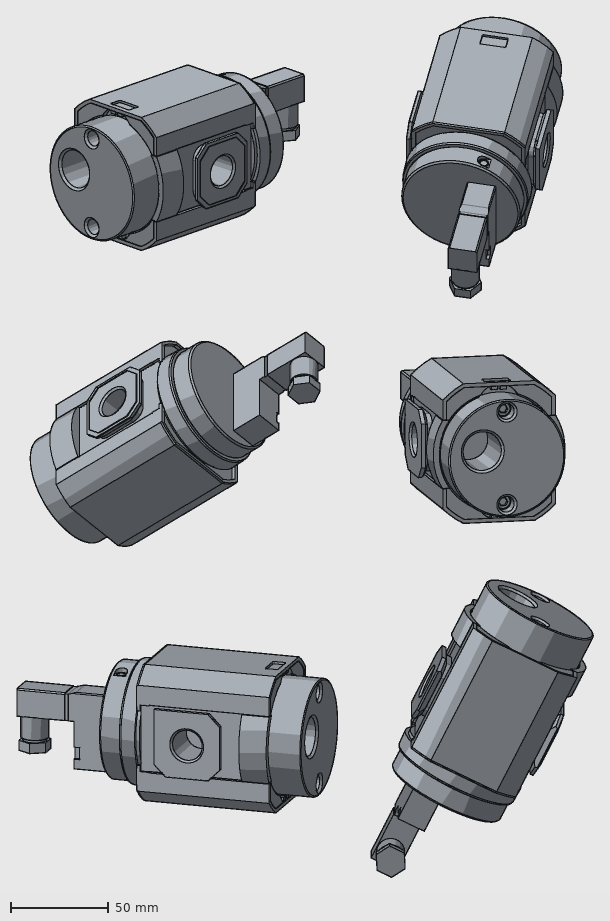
import cadquery as cq
import math


COVER_HALF_WIDTH = 29.7
COVER_HALF_HEIGHT = 36.5
COVER_CORNER_RADIUS = 41.0
CORNER_ARC_START_Z = math.sqrt(COVER_CORNER_RADIUS**2 - COVER_HALF_WIDTH**2)
COVER_WALL = 2.0
COVER_FRONT_Y = -61.4
COVER_BACK_Y = 10.2
COVER_BACK_CHAMFER_LENGTH = 1.0
COVER_BACK_CHAMFER_DEPTH = 0.3
EDGE_MARGIN = 0.2
WINDOW_HALF_HEIGHT = 17.8
WINDOW_BACK_Y = 8.3
WINDOW_CLEARANCE = 0.3
WINDOW_CLEARANCE_BACK_Y = 3.5
BACK_NOTCH_HALF_HEIGHT = 14.6
LABEL_WIDTH = 13.5
LABEL_LENGTH = 7.0
LABEL_DEPTH = 1.3
LABEL_CORNER_RADIUS = 0.8
LABEL_CENTRE_Y = -54.9
TOOTH_WIDTH = 3.1
TOOTH_GAP = 1.5
TOOTH_HEIGHT = 1.9
TOOTH_FRONT_Y = -60.6

FRONT_Y = -78.7
END_FACE_RECESS = 0.5
CORE_FRONT_Y = COVER_FRONT_Y + END_FACE_RECESS
SIDE_PLATE_X = 28.5
NOSE_RADIUS = 30.7
NOSE_CHAMFER_LENGTH = 0.5
NOSE_CHAMFER_DEPTH = 0.8
NOSE_GROOVE_RADIUS = 31.5
NOSE_GROOVE_DEPTH = 1.3
FLANGE_RADIUS = 34.8
FLANGE_BACK_Y = -46.5
MAIN_PORT_X = -12.7
MAIN_PORT_Z = 4.1
MAIN_PORT_RADIUS = 10.0
MAIN_PORT_CHAMFER = 1.3
MAIN_PORT_DEPTH = 31.5

SCREW_OFFSET_Z = 24.2
SCREW_HOLE_RADIUS = 4.1
SCREW_HOLE_CHAMFER = 1.3
SCREW_HOLE_DEPTH = 7.9
HEX_SOCKET_DIAMETER = 4.7
HEX_SOCKET_DEPTH = 2.4
SCREW_HEAD_RADIUS = 3.6
SCREW_HEAD_GROOVE_DEPTH = 0.8
SNAP_RECESS_RADIUS = 11.3
SNAP_RECESS_DEPTH = 3.1

PORT_CENTRE_Y = -18.5
PORT_FACE_X = 35.1
PORT_PLATE_SIZE = 2 * WINDOW_HALF_HEIGHT
PORT_CORNER_CUT = 6.3
PORT_PLATE_BACK_X = 31.2
PORT_BEVEL_LENGTH = 1.7
PORT_BEVEL_DEPTH = 2.8
PORT_NECK_SIZE = PORT_PLATE_SIZE - 2 * PORT_BEVEL_DEPTH
PORT_NECK_CORNER_RADIUS = 6.6
PORT_PAD_THICKNESS = 0.5
PORT_PAD_INSET = 1.7
SIDE_PORT_RADIUS = 8.0
SIDE_PORT_CHAMFER = 1.1
SIDE_PORT_DEPTH = 23.6

SPIGOT_RADIUS = 31.2
COLLAR_BACK_Y = 18.7
COLLAR_FRONT_RADIUS = 33.2
COLLAR_BACK_RADIUS = 32.9
COLLAR_CHAMFER_LENGTH = 1.0
COLLAR_CHAMFER_DEPTH = 0.5
CAP_BACK_Y = 30.2
CAP_RADIUS = 31.0
CAP_BACK_CHAMFER = 1.0
CAP_FRONT_CHAMFER = 0.5
BUTTON_Y = 24.7
BUTTON_RADIUS = 2.0
BUTTON_GROOVE_RADIUS = 2.5
BUTTON_GROOVE_DEPTH = 0.8
BUTTON_WELL_RADIUS = 3.1
BUTTON_WELL_FLOOR_Z = 27.5

PILOT_X = -11.0
PILOT_WIDTH = 15.1
PILOT_TOP_Z = 17.8
PILOT_BOTTOM_Z = -23.1
PILOT_BACK_Y = 47.8
PILOT_ARM_BOTTOM_Z = 2.2
PILOT_ARM_BACK_Y = 51.0
PILOT_SLOPE_START_Y = 46.7
PILOT_SLOPE_END_Z = 16.5
PILOT_EDGE_CHAMFER = 0.6
SEAL_INSET = 0.5
NOTCH_LENGTH = 3.1
NOTCH_DEPTH = 1.5
NOTCH_TOP_Z = -11.5
NOTCH_BOTTOM_Z = -18.0
PLUG_FRONT_Y = 52.9
PLUG_BACK_Y = 78.7
PLUG_TOP_Z = 17.0
PLUG_EDGE_CHAMFER = 0.8
GLAND_DIAMETER = 14.5
GLAND_BOTTOM_Z = -10.2
GLAND_NECK_DIAMETER = 12.7
GLAND_NUT_TOP_Z = -11.6
GLAND_NUT_BOTTOM_Z = -17.0


def block(x_range, y_range, z_range):
    """Box between two limits on each axis."""
    size = [end - start for start, end in (x_range, y_range, z_range)]
    corner = (x_range[0], y_range[0], z_range[0])
    return cq.Workplane("XY").box(*size, centered=False).translate(corner)


def along_y(start_y):
    """XZ workplane at start_y; extruding it runs toward +Y and sketch y is -Z."""
    return cq.Workplane(cq.Plane((0, start_y, 0), xDir=(1, 0, 0), normal=(0, 1, 0)))


def cylinder_y(radius, start_y, end_y, x=0.0, z=0.0):
    return along_y(start_y).center(x, -z).circle(radius).extrude(end_y - start_y)


def chamfered_hole_y(radius, chamfer, depth, x, z):
    """Cutter for a blind hole into the front face, with a countersunk mouth."""
    hole = cylinder_y(radius, FRONT_Y, FRONT_Y + depth, x, z)
    mouth = cq.Solid.makeCone(
        radius + chamfer, radius, chamfer, pnt=cq.Vector(x, FRONT_Y, z), dir=cq.Vector(0, 1, 0)
    )
    return hole.union(cq.Workplane(mouth))


def rounded_profile(start_y, end_y, inset):
    """Prism with flat sides and corner arcs about the main axis, shrunk by inset."""
    width = COVER_HALF_WIDTH - inset
    height = COVER_HALF_HEIGHT - inset
    corner = cylinder_y(COVER_CORNER_RADIUS - inset, start_y, end_y)
    return corner.intersect(block((-width, width), (start_y, end_y), (-height, height)))


def square_prism_x(size, corner_cut, start_x, end_x):
    """Prism along X about the side port axis, square with its corners cut off."""
    prism = cq.Workplane("YZ", origin=(start_x, PORT_CENTRE_Y, 0)).rect(size, size).extrude(end_x - start_x)
    return prism.edges("|X").chamfer(corner_cut)


def make_cover():
    outer = rounded_profile(COVER_FRONT_Y, COVER_BACK_Y, 0)
    top_edges = cq.selectors.BoxSelector(
        (-COVER_HALF_WIDTH, COVER_BACK_Y - EDGE_MARGIN, CORNER_ARC_START_Z),
        (COVER_HALF_WIDTH, COVER_BACK_Y + EDGE_MARGIN, COVER_HALF_HEIGHT + EDGE_MARGIN),
    )
    outer = outer.edges(top_edges).chamfer(COVER_BACK_CHAMFER_DEPTH, COVER_BACK_CHAMFER_LENGTH)
    shell = outer.cut(rounded_profile(COVER_FRONT_Y, COVER_BACK_Y, COVER_WALL))
    width_range = (-COVER_HALF_WIDTH, COVER_HALF_WIDTH)
    window_legs = block(width_range, (COVER_FRONT_Y, WINDOW_BACK_Y), (WINDOW_HALF_HEIGHT, COVER_HALF_HEIGHT))
    back_legs = block(width_range, (WINDOW_BACK_Y, COVER_BACK_Y), (BACK_NOTCH_HALF_HEIGHT, COVER_HALF_HEIGHT))
    clearance = block(
        width_range,
        (COVER_FRONT_Y, WINDOW_CLEARANCE_BACK_Y),
        (WINDOW_HALF_HEIGHT, WINDOW_HALF_HEIGHT + WINDOW_CLEARANCE),
    )
    cover = shell.intersect(window_legs.union(back_legs)).cut(clearance)
    for side in (-1, 1):
        cover = cover.union(make_snap_tooth(side))
    return cover


def make_snap_tooth(side):
    """Tooth inside the cover that fits in the recess of the core; side is +1 or -1 along X."""
    centre_x = side * (TOOTH_GAP + TOOTH_WIDTH) / 2
    wall_z = COVER_HALF_HEIGHT - COVER_WALL
    return block(
        (centre_x - TOOTH_WIDTH / 2, centre_x + TOOTH_WIDTH / 2),
        (TOOTH_FRONT_Y, CORE_FRONT_Y + SNAP_RECESS_DEPTH),
        (wall_z - TOOTH_HEIGHT, wall_z),
    )


def make_label_recess():
    recess = (
        cq.Workplane("XY", origin=(0, LABEL_CENTRE_Y, COVER_HALF_HEIGHT - LABEL_DEPTH))
        .rect(LABEL_WIDTH, LABEL_LENGTH)
        .extrude(LABEL_DEPTH)
    )
    return recess.edges("|Z").fillet(LABEL_CORNER_RADIUS)


def make_side_port():
    """Port block on the +X side, reaching in to the side plate."""
    plate = square_prism_x(PORT_PLATE_SIZE, PORT_CORNER_CUT, PORT_PLATE_BACK_X, PORT_FACE_X)
    plate = plate.faces("<X").edges().chamfer(PORT_BEVEL_DEPTH, PORT_BEVEL_LENGTH)
    neck = (
        cq.Workplane("YZ", origin=(SIDE_PLATE_X, PORT_CENTRE_Y, 0))
        .rect(PORT_NECK_SIZE, PORT_NECK_SIZE)
        .extrude(PORT_PLATE_BACK_X - SIDE_PLATE_X)
        .edges("|X")
        .fillet(PORT_NECK_CORNER_RADIUS)
    )
    return plate.union(neck)


def make_square_corner():
    """Fills the one uncut corner, at the back and top of the -X port plate."""
    corner = PORT_CORNER_CUT + PORT_BEVEL_DEPTH
    back = PORT_CENTRE_Y + PORT_PLATE_SIZE / 2
    return block(
        (-PORT_FACE_X, -PORT_PLATE_BACK_X - PORT_BEVEL_LENGTH),
        (back - corner, back),
        (WINDOW_HALF_HEIGHT - corner, WINDOW_HALF_HEIGHT),
    )


def make_pad_step():
    """Rim cut from the +X port face, leaving a raised pad."""
    step_x = PORT_FACE_X - PORT_PAD_THICKNESS
    rim = square_prism_x(PORT_PLATE_SIZE, PORT_CORNER_CUT, step_x, PORT_FACE_X)
    pad_size = PORT_PLATE_SIZE - 2 * PORT_PAD_INSET
    return rim.cut(square_prism_x(pad_size, PORT_CORNER_CUT, step_x, PORT_FACE_X))


def make_side_port_hole(side):
    """Blind countersunk hole; side is +1 or -1 along X."""
    face = cq.Vector(side * PORT_FACE_X, PORT_CENTRE_Y, 0)
    inward = cq.Vector(-side, 0, 0)
    bore = cq.Solid.makeCylinder(SIDE_PORT_RADIUS, SIDE_PORT_DEPTH, face, inward)
    mouth = cq.Solid.makeCone(
        SIDE_PORT_RADIUS + SIDE_PORT_CHAMFER, SIDE_PORT_RADIUS, SIDE_PORT_CHAMFER, face, inward
    )
    return cq.Workplane(bore).union(cq.Workplane(mouth))


def make_core():
    """Block that fills the covers, with flat side plates between them."""
    filling = rounded_profile(CORE_FRONT_Y, WINDOW_BACK_Y, COVER_WALL)
    side_plates = block(
        (-SIDE_PLATE_X, SIDE_PLATE_X),
        (FLANGE_BACK_Y, WINDOW_BACK_Y),
        (-WINDOW_HALF_HEIGHT, WINDOW_HALF_HEIGHT),
    )
    return filling.union(side_plates)


def make_flange():
    disc = cylinder_y(FLANGE_RADIUS, COVER_FRONT_Y, FLANGE_BACK_Y)
    between_covers = block(
        (-FLANGE_RADIUS, FLANGE_RADIUS),
        (COVER_FRONT_Y, FLANGE_BACK_Y),
        (-WINDOW_HALF_HEIGHT, WINDOW_HALF_HEIGHT),
    )
    return disc.intersect(between_covers)


def make_nose():
    nose = cylinder_y(NOSE_RADIUS, FRONT_Y, CORE_FRONT_Y + SNAP_RECESS_DEPTH)
    return nose.faces("<Y").edges().chamfer(NOSE_CHAMFER_LENGTH, NOSE_CHAMFER_DEPTH)


def make_nose_surround():
    """Cutter for the groove round the foot of the nose and the two snap recesses beside it."""
    surround = cylinder_y(NOSE_GROOVE_RADIUS, COVER_FRONT_Y, COVER_FRONT_Y + NOSE_GROOVE_DEPTH)
    for z in (-SCREW_OFFSET_Z, SCREW_OFFSET_Z):
        recess = cylinder_y(SNAP_RECESS_RADIUS, COVER_FRONT_Y, CORE_FRONT_Y + SNAP_RECESS_DEPTH, z=z)
        surround = surround.union(recess)
    return surround


def make_screw_recess(z):
    """Countersunk hole with a screw head at its floor, shaped by a hexagon socket and a ring groove."""
    hole = chamfered_hole_y(SCREW_HOLE_RADIUS, SCREW_HOLE_CHAMFER, SCREW_HOLE_DEPTH, 0, z)
    floor_y = FRONT_Y + SCREW_HOLE_DEPTH
    socket = along_y(floor_y).center(0, -z).polygon(6, HEX_SOCKET_DIAMETER).extrude(HEX_SOCKET_DEPTH)
    groove = (
        along_y(floor_y)
        .center(0, -z)
        .circle(SCREW_HOLE_RADIUS)
        .circle(SCREW_HEAD_RADIUS)
        .extrude(SCREW_HEAD_GROOVE_DEPTH)
    )
    return hole.union(socket).union(groove)


def make_housing():
    port = make_side_port()
    housing = (
        make_core()
        .union(make_flange())
        .cut(make_nose_surround())
        .union(make_nose())
        .union(cylinder_y(SPIGOT_RADIUS, WINDOW_BACK_Y, COVER_BACK_Y))
        .union(port)
        .union(port.mirror("YZ"))
        .union(make_square_corner())
        .cut(make_pad_step())
        .cut(chamfered_hole_y(MAIN_PORT_RADIUS, MAIN_PORT_CHAMFER, MAIN_PORT_DEPTH, MAIN_PORT_X, MAIN_PORT_Z))
    )
    for side in (-1, 1):
        housing = housing.cut(make_side_port_hole(side))
        housing = housing.cut(make_screw_recess(side * SCREW_OFFSET_Z))
    return housing


def make_collar():
    chamfer_y = COLLAR_BACK_Y - COLLAR_CHAMFER_LENGTH
    half_section = [
        (0, COVER_BACK_Y),
        (COLLAR_FRONT_RADIUS, COVER_BACK_Y),
        (COLLAR_BACK_RADIUS, chamfer_y),
        (COLLAR_BACK_RADIUS - COLLAR_CHAMFER_DEPTH, COLLAR_BACK_Y),
        (0, COLLAR_BACK_Y),
    ]
    return cq.Workplane("XY").polyline(half_section).close().revolve(360, (0, 0, 0), (0, 1, 0))


def make_button_well():
    """Flat-bottomed well, open toward -X, with a ring groove that outlines the button."""
    floor = cq.Workplane("XY", origin=(PILOT_X, BUTTON_Y, BUTTON_WELL_FLOOR_Z))
    well = floor.circle(BUTTON_WELL_RADIUS).extrude(CAP_RADIUS - BUTTON_WELL_FLOOR_Z)
    outlet = block(
        (-CAP_RADIUS, PILOT_X),
        (BUTTON_Y - BUTTON_WELL_RADIUS, BUTTON_Y + BUTTON_WELL_RADIUS),
        (BUTTON_WELL_FLOOR_Z, CAP_RADIUS),
    )
    groove = floor.circle(BUTTON_GROOVE_RADIUS).circle(BUTTON_RADIUS).extrude(-BUTTON_GROOVE_DEPTH)
    return well.union(outlet).union(groove)


def make_rear_cap():
    cap = cylinder_y(CAP_RADIUS, COLLAR_BACK_Y, CAP_BACK_Y)
    cap = cap.faces(">Y").edges().chamfer(CAP_BACK_CHAMFER)
    cap = cap.faces("<Y").edges().chamfer(CAP_FRONT_CHAMFER)
    return cap.cut(make_button_well())


def make_pilot_valve():
    side_outline = [
        (CAP_BACK_Y, PILOT_BOTTOM_Z),
        (PILOT_BACK_Y, PILOT_BOTTOM_Z),
        (PILOT_BACK_Y, PILOT_ARM_BOTTOM_Z),
        (PILOT_ARM_BACK_Y, PILOT_ARM_BOTTOM_Z),
        (PILOT_ARM_BACK_Y, PILOT_SLOPE_END_Z),
        (PILOT_SLOPE_START_Y, PILOT_TOP_Z),
        (CAP_BACK_Y, PILOT_TOP_Z),
    ]
    valve = (
        cq.Workplane("YZ", origin=(PILOT_X, 0, 0))
        .polyline(side_outline)
        .close()
        .extrude(PILOT_WIDTH / 2, both=True)
    )
    valve = valve.faces(">Z").edges("|Y").chamfer(PILOT_EDGE_CHAMFER)
    left_x = PILOT_X - PILOT_WIDTH / 2
    right_x = PILOT_X + PILOT_WIDTH / 2
    seal = block(
        (left_x + SEAL_INSET, right_x - SEAL_INSET),
        (PILOT_ARM_BACK_Y, PLUG_FRONT_Y),
        (PILOT_ARM_BOTTOM_Z, PILOT_SLOPE_END_Z),
    )
    notch = block(
        (left_x, left_x + NOTCH_DEPTH),
        (PILOT_BACK_Y - NOTCH_LENGTH, PILOT_BACK_Y),
        (NOTCH_BOTTOM_Z, NOTCH_TOP_Z),
    )
    return valve.union(seal).cut(notch)


def make_plug():
    gland_y = PLUG_BACK_Y - GLAND_DIAMETER / 2
    shell = block(
        (PILOT_X - PILOT_WIDTH / 2, PILOT_X + PILOT_WIDTH / 2),
        (PLUG_FRONT_Y, PLUG_BACK_Y),
        (PILOT_ARM_BOTTOM_Z, PLUG_TOP_Z),
    )
    shell = shell.faces(">Z").edges("|Y").chamfer(PLUG_EDGE_CHAMFER)
    gland = (
        cq.Workplane("XY", origin=(PILOT_X, gland_y, GLAND_BOTTOM_Z))
        .circle(GLAND_DIAMETER / 2)
        .extrude(PILOT_ARM_BOTTOM_Z - GLAND_BOTTOM_Z)
    )
    neck = (
        cq.Workplane("XY", origin=(PILOT_X, gland_y, GLAND_NUT_TOP_Z))
        .circle(GLAND_NECK_DIAMETER / 2)
        .extrude(GLAND_BOTTOM_Z - GLAND_NUT_TOP_Z)
    )
    nut_corner_diameter = GLAND_DIAMETER / math.cos(math.pi / 6)
    nut = (
        cq.Workplane("XY", origin=(PILOT_X, gland_y, GLAND_NUT_BOTTOM_Z))
        .polygon(6, nut_corner_diameter)
        .extrude(GLAND_NUT_TOP_Z - GLAND_NUT_BOTTOM_Z)
    )
    return shell.union(gland).union(neck).union(nut)


housing = make_housing()
bottom_cover = make_cover().mirror("XY")
top_cover = make_cover().cut(make_label_recess())
collar = make_collar()
rear_cap = make_rear_cap()
pilot_valve = make_pilot_valve()
plug = make_plug()

result = cq.Compound.makeCompound(
    [
        housing.val(),
        top_cover.val(),
        bottom_cover.val(),
        collar.val(),
        rear_cap.val(),
        pilot_valve.val(),
        plug.val(),
    ]
)